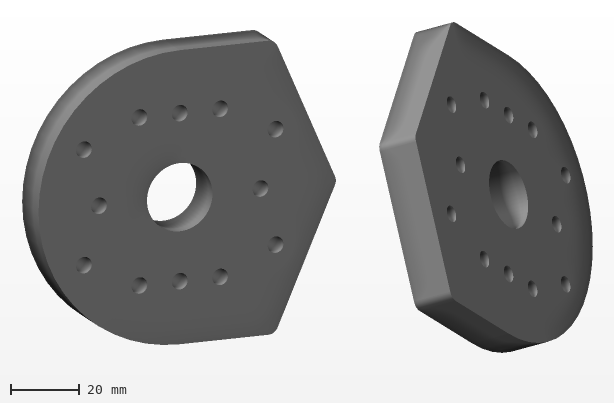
import cadquery as cq
import math

THICKNESS = 12.7
ROUND_RADIUS = 44.45
NOSE_REACH = 49.14
SHOULDER_REACH = 29.97
CORNER_RADIUS = 3.175

BORE_DIAMETER = 20.62
HOLE_DIAMETER = 4.978
HOLE_GRID = 25.4
ROW_PITCH = HOLE_GRID / 2
OUTER_HOLE_Y = 30.15
OUTER_HOLE_Z = 17.46


def sharp_nose_reach():
    """Distance to the nose point whose rounding ends exactly at NOSE_REACH."""
    settling_passes = 20
    reach = NOSE_REACH
    for _ in range(settling_passes):
        slope = math.atan2(reach - SHOULDER_REACH, ROUND_RADIUS)
        reach = NOSE_REACH + CORNER_RADIUS * (1 / math.cos(slope) - 1)
    return reach


def make_plate():
    """Plate with a half-round end toward -Y and a blunt nose toward +Y."""
    plate = (
        cq.Workplane("YZ")
        .workplane(offset=-THICKNESS / 2)
        .moveTo(0, ROUND_RADIUS)
        .threePointArc((-ROUND_RADIUS, 0), (0, -ROUND_RADIUS))
        .lineTo(SHOULDER_REACH, -ROUND_RADIUS)
        .lineTo(sharp_nose_reach(), 0)
        .lineTo(SHOULDER_REACH, ROUND_RADIUS)
        .close()
        .extrude(THICKNESS)
    )
    beyond_round_end = cq.selectors.BoxSelector(
        (-THICKNESS, SHOULDER_REACH / 2, -2 * ROUND_RADIUS),
        (THICKNESS, 2 * NOSE_REACH, 2 * ROUND_RADIUS),
    )
    return plate.edges("|X").edges(beyond_round_end).fillet(CORNER_RADIUS)


def hole_centres():
    """(Y, Z) centres of all the small holes."""
    centres = []
    for side in (-1, 1):
        centres.append((side * HOLE_GRID, 0))
        for step in (-1, 0, 1):
            centres.append((step * ROW_PITCH, side * HOLE_GRID))
        for end in (-1, 1):
            centres.append((end * OUTER_HOLE_Y, side * OUTER_HOLE_Z))
    return centres


def through_cutter(diameter, centres):
    """Cylinders along X that pass through the whole thickness."""
    return (
        cq.Workplane("YZ")
        .pushPoints(centres)
        .circle(diameter / 2)
        .extrude(THICKNESS, both=True)
    )


result = (
    make_plate()
    .cut(through_cutter(BORE_DIAMETER, [(0, 0)]))
    .cut(through_cutter(HOLE_DIAMETER, hole_centres()))
)